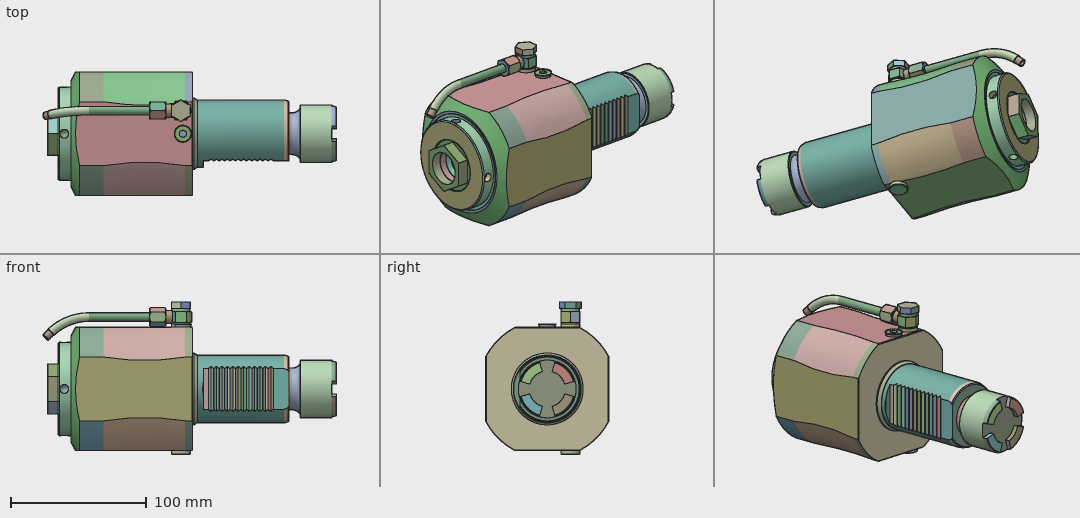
import cadquery as cq
import math


BODY_WIDTH = 91.0
BODY_RADIUS = 51.2
BODY_WAIST_RADIUS = 50.1
BODY_FRONT_X = -89.7
BODY_CONE_END_X = -83.3
BODY_FRONT_RADIUS = 39.0
WAIST_START_X = -65.3
WAIST_END_X = -5.4
BODY_REAR_CHAMFER = 0.6
FRONT_RECESS_RADIUS = 37.0
FRONT_RECESS_DEPTH = 0.6

CAP_FRONT_X = -99.0
CAP_RADIUS = 34.5
CAP_CHAMFER = 0.9
CAP_HOLE_X = -94.6
CAP_HOLE_DIAMETER = 6.5
CAP_HOLE_DEPTH = 5.0
CAP_HOLE_POINT_DEPTH = 2.0
CAP_HOLE_COUNT = 4
NUT_FRONT_X = -106.8
NUT_ACROSS_FLATS = 32.0
NUT_RECESS_RADIUS = 19.5
NUT_RECESS_DEPTH = 1.0
NUT_RECESS_CHAMFER = 0.5
NUT_BORE_STEPS = ((12.3, 7.5), (12.0, 13.0), (11.7, 18.0))

SHANK_RADIUS = 25.0
SHANK_START_X = 3.7
SHANK_END_X = 71.0
SHANK_TAPER_LENGTH = 3.4
SHANK_TAPER_DROP = 0.7
SHANK_END_CHAMFER = 0.8
COLLAR_RADIUS = 26.5
COLLAR_LENGTH = 1.0
UNDERCUT_RADIUS = 24.6
FLAT_DISTANCE = 20.0
FLAT_START_X = 7.9
FLAT_EDGE_CHAMFER = 0.5
TOOTH_PITCH = 4.0
TOOTH_COUNT = 12
FIRST_TOOTH_X = 13.6
TOOTH_GROOVE_WIDTH = 3.9
TOOTH_GROOVE_DEPTH = 1.3

NECK_RADIUS = 15.5
NECK_END_X = 73.4
FLARE_RADIUS = 18.4
CLAMP_START_X = 79.0
CLAMP_TIP_X = 102.5
CLAMP_END_X = 106.1
CLAMP_RADIUS = 21.3
CLAMP_CHAMFER = 0.6
CLAMP_TIP_RADIUS = 20.5
CLAMP_TIP_CHAMFER = 0.4
SLOT_COUNT = 4
SLOT_HALF_WIDTH = 5.8
CLAMP_BORE_RADIUS = 13.3

FITTING_X = -8.7
FITTING_Y = 17.0
FITTING_TOP_Z = 64.1
FITTING_FOOT_RADIUS = 7.0
FITTING_FOOT_TOP_Z = 48.0
FITTING_STEM_RADIUS = 6.7
FITTING_HEX_ACROSS_FLATS = 14.0
FITTING_HEX_BOTTOM_Z = 49.0
FITTING_HEX_TOP_Z = 57.0
FITTING_HEX_CHAMFER = 0.5
BOLT_HEAD_BOTTOM_Z = 59.3

PIPE_Z = (FITTING_HEX_BOTTOM_Z + FITTING_HEX_TOP_Z) / 2
PIPE_RADIUS = 3.25
ARM_RADIUS = 4.9
ARM_END_X = -14.9
ARM_NECK_RADIUS = 3.5
COUPLING_START_X = -31.7
COUPLING_END_X = -19.7
COUPLING_ACROSS_FLATS = 12.4
COUPLING_CHAMFER = 1.0
BEND_START_X = -76.2
BEND_RADIUS = 40.0
BEND_ANGLE = 45.0
BEND_TILT = 14.0
TIP_RADIUS = 2.9
TIP_BORE_RADIUS = 2.0
TIP_LENGTH = 5.4

PLUG_X = -7.2
PLUG_TOP_RADIUS = 6.3
PLUG_TOP_Z = 48.0
PLUG_RIM_HEIGHT = 0.6
PLUG_FOOT_RADIUS = 5.9
PLUG_SOCKET_ACROSS_FLATS = 5.0
PLUG_SOCKET_DEPTH = 2.0
BOTTOM_PLUG_Z = -48.3
BOTTOM_PLUG_CHAMFER = 0.5

EMBED = 1.0
BEYOND = 5.0


def rod(radius, start, end, axis="X", across=(0.0, 0.0)):
    """Cylinder along X at (Y, Z) = across, or along Z at (X, Y) = across."""
    plane = "YZ" if axis == "X" else "XY"
    section = cq.Workplane(plane).workplane(offset=start).center(*across)
    return section.circle(radius).extrude(end - start)


def hexagon(across_flats, start, end, axis="X", across=(0.0, 0.0), first_corner=90.0):
    """Hexagonal bar along X or Z; first_corner is the angle of one corner in its section."""
    plane = "YZ" if axis == "X" else "XY"
    corner_radius = across_flats / 2 / math.cos(math.pi / 6)
    corners = []
    for index in range(6):
        angle = math.radians(first_corner + 60 * index)
        corners.append((corner_radius * math.cos(angle), corner_radius * math.sin(angle)))
    section = cq.Workplane(plane).workplane(offset=start).center(*across)
    return section.polyline(corners).close().extrude(end - start)


def rounded_hexagon(across_flats, start, end, chamfer, axis="X", across=(0.0, 0.0), first_corner=90.0):
    """Hexagonal bar whose corners are turned down at both ends."""
    corner_radius = across_flats / 2 / math.cos(math.pi / 6)
    faces = "<X or >X" if axis == "X" else "<Z or >Z"
    turned = rod(corner_radius, start, end, axis, across).faces(faces).chamfer(chamfer)
    return hexagon(across_flats, start, end, axis, across, first_corner).intersect(turned)


def turned_about_x(profile):
    """Revolve an (X, radius) outline about the main axis."""
    return profile.close().revolve(360, (0, 0, 0), (1, 0, 0))


def make_body():
    profile = (
        cq.Workplane("XY")
        .moveTo(BODY_FRONT_X, 0)
        .lineTo(BODY_FRONT_X, BODY_FRONT_RADIUS)
        .lineTo(BODY_CONE_END_X, BODY_RADIUS)
        .lineTo(WAIST_START_X, BODY_RADIUS)
        .threePointArc(((WAIST_START_X + WAIST_END_X) / 2, BODY_WAIST_RADIUS), (WAIST_END_X, BODY_RADIUS))
        .lineTo(0, BODY_RADIUS)
        .lineTo(0, 0)
    )
    length = -BODY_FRONT_X
    block = cq.Workplane("XY").box(length, BODY_WIDTH, BODY_WIDTH).translate((-length / 2, 0, 0))
    block = block.faces(">X").chamfer(BODY_REAR_CHAMFER)
    recess = rod(FRONT_RECESS_RADIUS, BODY_FRONT_X, BODY_FRONT_X + FRONT_RECESS_DEPTH)
    return turned_about_x(profile).intersect(block).cut(recess)


def make_cap_hole():
    """Cutter for the cap hole on the +Z side, with a conical drill point."""
    hole_radius = CAP_HOLE_DIAMETER / 2
    shoulder_z = CAP_RADIUS - CAP_HOLE_DEPTH
    profile = (
        cq.Workplane("XZ")
        .moveTo(0, shoulder_z - CAP_HOLE_POINT_DEPTH)
        .lineTo(hole_radius, shoulder_z)
        .lineTo(hole_radius, CAP_RADIUS + BEYOND)
        .lineTo(0, CAP_RADIUS + BEYOND)
        .close()
    )
    return profile.revolve(360, (0, 0, 0), (0, 1, 0)).translate((CAP_HOLE_X, 0, 0))


def make_cap():
    cap = rod(CAP_RADIUS, CAP_FRONT_X, BODY_FRONT_X + FRONT_RECESS_DEPTH + EMBED)
    cap = cap.faces("<X").chamfer(CAP_CHAMFER)
    recess_floor_x = CAP_FRONT_X + NUT_RECESS_DEPTH
    cap = cap.cut(rod(NUT_RECESS_RADIUS, CAP_FRONT_X, recess_floor_x))
    cap = cap.faces("<X").edges(cq.selectors.RadiusNthSelector(0)).chamfer(NUT_RECESS_CHAMFER)
    hole = make_cap_hole()
    for index in range(CAP_HOLE_COUNT):
        cap = cap.cut(hole.rotate((0, 0, 0), (1, 0, 0), index * 360 / CAP_HOLE_COUNT))
    return cap.union(hexagon(NUT_ACROSS_FLATS, NUT_FRONT_X, recess_floor_x + EMBED))


def make_nut_bore():
    bore = cq.Workplane("YZ")
    for radius, depth in NUT_BORE_STEPS:
        bore = bore.union(rod(radius, NUT_FRONT_X, NUT_FRONT_X + depth))
    return bore


def make_shank():
    taper_radius = SHANK_RADIUS - SHANK_TAPER_DROP
    profile = (
        cq.Workplane("XY")
        .moveTo(-EMBED, 0)
        .lineTo(-EMBED, COLLAR_RADIUS)
        .lineTo(COLLAR_LENGTH, COLLAR_RADIUS)
        .lineTo(SHANK_START_X, UNDERCUT_RADIUS)
        .lineTo(SHANK_START_X, SHANK_RADIUS)
        .lineTo(SHANK_END_X - SHANK_TAPER_LENGTH, SHANK_RADIUS)
        .lineTo(SHANK_END_X - SHANK_END_CHAMFER, taper_radius)
        .lineTo(SHANK_END_X, taper_radius - SHANK_END_CHAMFER)
        .lineTo(SHANK_END_X, 0)
    )
    return turned_about_x(profile).cut(make_clamping_flat())


def make_clamping_flat():
    """Cutter for the flat on the -Y side and the row of V grooves in it."""
    reach = SHANK_RADIUS + BEYOND
    edge_y = -SHANK_RADIUS + FLAT_EDGE_CHAMFER
    cutter = (
        cq.Workplane("XY")
        .workplane(offset=-reach)
        .moveTo(FLAT_START_X, -FLAT_DISTANCE)
        .lineTo(FLAT_START_X, edge_y)
        .lineTo(FLAT_START_X - FLAT_EDGE_CHAMFER, -SHANK_RADIUS)
        .lineTo(FLAT_START_X - FLAT_EDGE_CHAMFER, -reach)
        .lineTo(SHANK_END_X + BEYOND, -reach)
        .lineTo(SHANK_END_X + BEYOND, -FLAT_DISTANCE)
        .close()
        .extrude(2 * reach)
    )
    for index in range(TOOTH_COUNT):
        groove_x = FIRST_TOOTH_X + index * TOOTH_PITCH
        groove = (
            cq.Workplane("XY")
            .workplane(offset=-reach)
            .moveTo(groove_x - TOOTH_GROOVE_WIDTH / 2, -FLAT_DISTANCE)
            .lineTo(groove_x, -FLAT_DISTANCE + TOOTH_GROOVE_DEPTH)
            .lineTo(groove_x + TOOTH_GROOVE_WIDTH / 2, -FLAT_DISTANCE)
            .close()
            .extrude(2 * reach)
        )
        cutter = cutter.union(groove)
    return cutter


def make_clamping_nut():
    flare_length = CLAMP_START_X - NECK_END_X
    tip_length = CLAMP_END_X - CLAMP_TIP_X
    flare_rise = FLARE_RADIUS - NECK_RADIUS
    profile = (
        cq.Workplane("XY")
        .moveTo(SHANK_END_X - EMBED, 0)
        .lineTo(SHANK_END_X - EMBED, NECK_RADIUS)
        .lineTo(NECK_END_X, NECK_RADIUS)
        .tangentArcPoint((flare_length, flare_rise))
        .lineTo(CLAMP_START_X, CLAMP_RADIUS - CLAMP_CHAMFER)
        .lineTo(CLAMP_START_X + CLAMP_CHAMFER, CLAMP_RADIUS)
        .lineTo(CLAMP_TIP_X, CLAMP_RADIUS)
        .tangentArcPoint((tip_length - CLAMP_TIP_CHAMFER, CLAMP_TIP_RADIUS - CLAMP_RADIUS))
        .lineTo(CLAMP_END_X, CLAMP_TIP_RADIUS - CLAMP_TIP_CHAMFER)
        .lineTo(CLAMP_END_X, 0)
    )
    nut = turned_about_x(profile).cut(rod(CLAMP_BORE_RADIUS, CLAMP_TIP_X, CLAMP_END_X))
    slot_reach = CLAMP_RADIUS + BEYOND
    slot_spread = slot_reach * SLOT_HALF_WIDTH / CLAMP_TIP_RADIUS
    slot = (
        cq.Workplane("YZ")
        .workplane(offset=CLAMP_TIP_X)
        .polyline([(0, 0), (slot_reach, slot_spread), (slot_reach, -slot_spread)])
        .close()
        .extrude(CLAMP_END_X - CLAMP_TIP_X)
    )
    for index in range(SLOT_COUNT):
        nut = nut.cut(slot.rotate((0, 0, 0), (1, 0, 0), index * 360 / SLOT_COUNT))
    return nut


def make_fitting():
    base_z = BODY_WIDTH / 2 - EMBED
    place = (FITTING_X, FITTING_Y)
    across_flats = FITTING_HEX_ACROSS_FLATS
    fitting = rod(FITTING_FOOT_RADIUS, base_z, FITTING_FOOT_TOP_Z, "Z", place)
    fitting = fitting.union(rod(FITTING_STEM_RADIUS, base_z, FITTING_TOP_Z - EMBED, "Z", place))
    fitting = fitting.union(hexagon(across_flats, BOLT_HEAD_BOTTOM_Z, FITTING_TOP_Z, "Z", place))
    middle = rounded_hexagon(
        across_flats, FITTING_HEX_BOTTOM_Z, FITTING_HEX_TOP_Z, FITTING_HEX_CHAMFER, "Z", place, first_corner=0.0
    )
    return fitting.union(middle)


def make_pipe():
    line = (FITTING_Y, PIPE_Z)
    arm = rod(ARM_RADIUS, COUPLING_END_X - EMBED, ARM_END_X, across=line)
    arm = arm.union(rod(ARM_NECK_RADIUS, COUPLING_END_X, FITTING_X - EMBED, across=line))
    coupling = rounded_hexagon(
        COUPLING_ACROSS_FLATS, COUPLING_START_X, COUPLING_END_X, COUPLING_CHAMFER, across=line
    )
    straight = rod(PIPE_RADIUS, BEND_START_X, COUPLING_START_X + EMBED, across=line)
    return arm.union(coupling).union(straight).union(make_bend())


def make_bend():
    """Bend and nozzle tip, made in the XZ plane through the pipe line and then tilted about it."""
    bend_start = (BEND_START_X, FITTING_Y, PIPE_Z)
    turn = math.radians(BEND_ANGLE)
    bend = (
        cq.Workplane("YZ", origin=bend_start)
        .circle(PIPE_RADIUS)
        .revolve(BEND_ANGLE, (0, -BEND_RADIUS, 0), (-1, -BEND_RADIUS, 0))
    )
    bend_end = (
        BEND_START_X - BEND_RADIUS * math.sin(turn),
        FITTING_Y,
        PIPE_Z - BEND_RADIUS * (1 - math.cos(turn)),
    )
    heading = (-math.cos(turn), 0, -math.sin(turn))
    tip_plane = cq.Plane(origin=bend_end, xDir=(0, 1, 0), normal=heading)
    tip = cq.Workplane(tip_plane).workplane(offset=-EMBED).circle(TIP_RADIUS).extrude(TIP_LENGTH + EMBED)
    bore = cq.Workplane(tip_plane).circle(TIP_BORE_RADIUS).extrude(TIP_LENGTH)
    nozzle = bend.union(tip).cut(bore)
    axis_end = (COUPLING_START_X, FITTING_Y, PIPE_Z)
    return nozzle.rotate(bend_start, axis_end, -BEND_TILT)


def make_screw_plug():
    base_z = BODY_WIDTH / 2 - EMBED
    place = (PLUG_X, 0)
    rim = rod(PLUG_TOP_RADIUS, PLUG_TOP_Z - PLUG_RIM_HEIGHT, PLUG_TOP_Z, "Z", place)
    foot = rod(PLUG_FOOT_RADIUS, base_z, PLUG_TOP_Z - PLUG_RIM_HEIGHT, "Z", place)
    socket = hexagon(PLUG_SOCKET_ACROSS_FLATS, PLUG_TOP_Z - PLUG_SOCKET_DEPTH, PLUG_TOP_Z, "Z", place)
    return rim.union(foot).cut(socket)


def make_bottom_plug():
    plug = rod(FITTING_FOOT_RADIUS, BOTTOM_PLUG_Z, -BODY_WIDTH / 2 + EMBED, "Z", (FITTING_X, FITTING_Y))
    return plug.faces("<Z").chamfer(BOTTOM_PLUG_CHAMFER)


result = (
    make_body()
    .union(make_cap())
    .cut(make_nut_bore())
    .union(make_shank())
    .union(make_clamping_nut())
    .union(make_fitting())
    .union(make_pipe())
    .union(make_screw_plug())
    .union(make_bottom_plug())
)